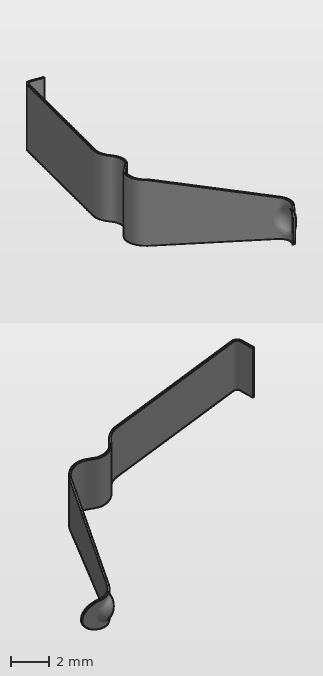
import cadquery as cq
import math

overall_length = 18.76
overall_depth = 7.88
strip_width = 3.8
thickness = 0.11
half_thickness = thickness / 2

hook_heading = -82.0
hook_length = 0.8
hook_radius = 0.35
base_length = 8.54
rise_heading = 55.0
rise_radius = 1.16
crest_radius = 1.03
fall_heading = -32.0
fall_length = 0.47
trough_radius = 1.13
arm_heading = 61.0
arm_length = 7.07
contact_radius = 0.8
tip_heading = -20.0
tip_length = 1.22

centreline = [
    ("line", hook_length),
    ("arc", hook_radius, 0.0),
    ("line", base_length),
    ("arc", rise_radius, rise_heading),
    ("arc", crest_radius, fall_heading),
    ("line", fall_length),
    ("arc", trough_radius, arm_heading),
    ("line", arm_length),
    ("arc", contact_radius, tip_heading),
    ("line", tip_length),
]

contact_steps = 3

taper_start_x = 13.5
contact_start_x = 16.85
contact_start_half_width = 1.2
tip_start_x = 17.75
tip_half_width = 1.1

dome_radius = 0.68
dome_half_height = 1.0
dome_x = 17.33
dome_y = overall_depth - dome_radius
outer_blend_radius = 0.34
rim_blend_radius = 0.45


def unit(angle):
    """Unit vector at an angle in degrees."""
    return cq.Vector(math.cos(math.radians(angle)), math.sin(math.radians(angle)))


def trace(offset):
    """Edges of the bent path, shifted to the left of travel by offset."""
    hook_drop = hook_radius * (1 - math.cos(math.radians(hook_heading)))
    hook_drop -= hook_length * unit(hook_heading).y
    heading = hook_heading
    start_x = -half_thickness * unit(hook_heading).y
    point = cq.Vector(start_x, half_thickness + hook_drop) + unit(heading + 90) * offset
    edges = []
    for kind, size, *new_heading in centreline:
        if kind == "line":
            end = point + unit(heading) * size
            edges.append(cq.Edge.makeLine(point, end))
        else:
            target = new_heading[0]
            side = math.copysign(1, target - heading)
            radius = size - side * offset
            centre = point + unit(heading + 90) * (side * radius)
            middle = centre - unit((heading + target) / 2 + 90) * (side * radius)
            end = centre - unit(target + 90) * (side * radius)
            edges.append(cq.Edge.makeThreePointArc(point, middle, end))
            heading = target
        point = end
    return edges


def extrude_between(first_edges, second_edges):
    """Full-width solid between two paths that run in the same direction."""
    start_cap = cq.Edge.makeLine(first_edges[0].startPoint(), second_edges[0].startPoint())
    end_cap = cq.Edge.makeLine(first_edges[-1].endPoint(), second_edges[-1].endPoint())
    outline = cq.Wire.assembleEdges([start_cap, *second_edges, end_cap, *first_edges])
    face = cq.Face.makeFromWires(outline)
    solid = cq.Solid.extrudeLinear(face, cq.Vector(0, 0, strip_width))
    return cq.Workplane(obj=solid).translate((0, 0, -strip_width / 2))


def make_strip():
    """Bent sheet trimmed to its tapered, round-ended outline."""
    bent_sheet = extrude_between(trace(-half_thickness), trace(half_thickness))
    half_width = strip_width / 2
    outline = (
        cq.Workplane("XZ")
        .moveTo(0, -half_width)
        .lineTo(taper_start_x, -half_width)
        .lineTo(contact_start_x, -contact_start_half_width)
        .lineTo(tip_start_x, -tip_half_width)
        .threePointArc((overall_length, 0), (tip_start_x, tip_half_width))
        .lineTo(contact_start_x, contact_start_half_width)
        .lineTo(taper_start_x, half_width)
        .lineTo(0, half_width)
        .close()
        .extrude(-overall_depth)
    )
    return bent_sheet.intersect(outline)


def ellipsoid(radius, half_height):
    """Ellipsoid revolved about the dome's Z axis."""
    return (
        cq.Workplane("XZ")
        .moveTo(0, -half_height)
        .ellipseArc(radius, half_height, -90, 90, startAtCurrent=True)
        .close()
        .revolve(360, (0, 0), (0, 1))
        .translate((dome_x, dome_y, 0))
    )


def fillet_seam(solid, offset, radius):
    """Round the edges where the dome meets the sheet surface at this offset."""
    surface_path = cq.Wire.assembleEdges(trace(offset)[-contact_steps:])
    tolerance = 0.002

    def on_seam(edge):
        for point in (edge.startPoint(), edge.endPoint()):
            foot = cq.Vertex.makeVertex(point.x, point.y, 0)
            if abs(point.z) > dome_half_height or surface_path.distance(foot) > tolerance:
                return False
        return True

    return solid.newObject(list(filter(on_seam, solid.edges().vals()))).fillet(radius)


def add_dome(strip):
    """Emboss a hollow dome on the outside of the contact bend."""
    path = trace(0)[-contact_steps:]
    lift = cq.Vector(0, 2 * dome_radius)
    outer_path = [edge.translate(lift) for edge in path]
    outside = extrude_between(path, outer_path)
    bump = ellipsoid(dome_radius, dome_half_height).intersect(outside)
    hollow = ellipsoid(dome_radius - thickness, dome_half_height - thickness)
    blended = fillet_seam(strip.union(bump), half_thickness, outer_blend_radius)
    return fillet_seam(blended.cut(hollow), -half_thickness, rim_blend_radius)



result = add_dome(make_strip())